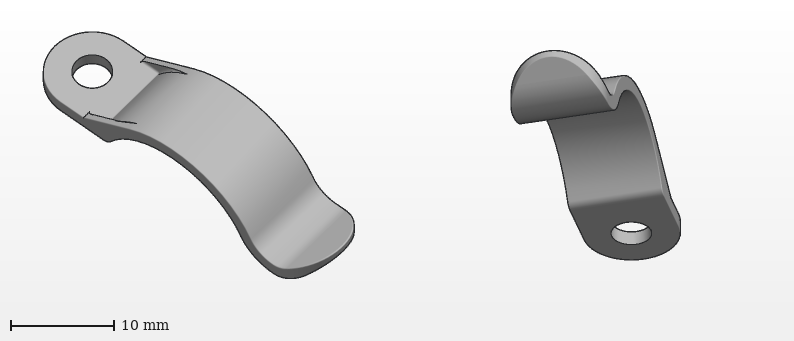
import cadquery as cq
import math

length = 36.5
width = 9.53
thickness = 1.5
end_radius = width / 2
edge_round = 0.1

pad_bottom = 2.8
pad_top = pad_bottom + thickness
hole_diameter = 3.95
heel_radius = 1.1

height = 9.2
arch_x = 19.05
arch_inner = 9.5
arch_outer = arch_inner + thickness
arch_z = height - arch_outer

hook_inner = 3.1
hook_outer = hook_inner + thickness
hook_z = hook_outer
centre_distance = arch_outer + hook_inner
hook_x = arch_x + math.sqrt(centre_distance**2 - (hook_z - arch_z) ** 2)
crossing_angle = math.degrees(math.atan2(hook_z - arch_z, hook_x - arch_x))
tail_top_slope = 30.0
tail_bottom_slope = 45.0

rib_slope = 30.0
rib_width = 0.7
pocket_round = 0.25
selection_margin = 0.35


def on_circle(x, z, radius, angle):
    """Point of a circle in the XZ plane, angle in degrees from +X."""
    a = math.radians(angle)
    return (x + radius * math.cos(a), z + radius * math.sin(a))


def on_arch(radius, angle):
    return on_circle(arch_x, arch_z, radius, angle)


def on_hook(radius, angle):
    return on_circle(hook_x, hook_z, radius, angle)


def slope_at(point, slope, x):
    """Point at x on a sloped line through the given point."""
    return (x, point[1] + (x - point[0]) * math.tan(math.radians(slope)))


def arch_x_at(radius, z):
    """Where the left side of an arch circle reaches height z."""
    return arch_x - math.sqrt(radius**2 - (z - arch_z) ** 2)


rib_top = on_arch(arch_outer, 90 + rib_slope)
rib_foot_x = rib_top[0] - (rib_top[1] - pad_top) / math.tan(math.radians(rib_slope))
tail_top_start = on_hook(hook_inner, tail_top_slope - 90)
tail_bottom_start = on_hook(hook_outer, tail_bottom_slope - 90)


def strip():
    """Side profile extruded over the width and trimmed to rounded ends."""
    heel = (arch_x_at(arch_inner, pad_bottom), pad_bottom)
    crown = 90
    hook_bottom = -90
    profile = (
        cq.Workplane("XZ")
        .moveTo(0, pad_bottom)
        .lineTo(0, pad_top)
        .lineTo(rib_foot_x, pad_top)
        .lineTo(*rib_top)
        .threePointArc(on_arch(arch_outer, crown), on_arch(arch_outer, crossing_angle))
        .threePointArc(on_hook(hook_inner, hook_bottom), tail_top_start)
        .lineTo(*slope_at(tail_top_start, tail_top_slope, length))
        .lineTo(*slope_at(tail_bottom_start, tail_bottom_slope, length))
        .lineTo(*tail_bottom_start)
        .threePointArc(on_hook(hook_outer, hook_bottom), on_hook(hook_outer, 180 + crossing_angle))
        .threePointArc(on_arch(arch_inner, crown), heel)
        .close()
        .extrude(width / 2, both=True)
    )
    heel_edge = cq.selectors.NearestToPointSelector((heel[0], 0, heel[1]))
    profile = profile.edges("|Y").edges(heel_edge).fillet(heel_radius)
    outline = cq.Workplane("XY").center(length / 2, 0).slot2D(length, width).extrude(height)
    return profile.intersect(outline)


def round_outline(body):
    """Soften the long edges on both sides and around both ends."""
    return body.faces("<Y or >Y").edges("not |Z").fillet(edge_round)


def pocket():
    """Space between the ribs, following the pad and then the arch."""
    start_x = rib_foot_x - thickness
    ceiling = height + thickness
    floor_end = (arch_x_at(arch_outer, pad_top), pad_top)
    start_angle = math.degrees(math.atan2(pad_top - arch_z, floor_end[0] - arch_x))
    middle = on_arch(arch_outer, (start_angle + 90 + rib_slope) / 2)
    block = (
        cq.Workplane("XZ")
        .moveTo(start_x, pad_top)
        .lineTo(*floor_end)
        .threePointArc(middle, rib_top)
        .lineTo(rib_top[0], ceiling)
        .lineTo(start_x, ceiling)
        .close()
        .extrude(width / 2 - rib_width, both=True)
    )
    floor_box = cq.selectors.BoxSelector(
        (start_x - selection_margin, -width, pad_top - selection_margin),
        (rib_top[0] - selection_margin, width, rib_top[1] - selection_margin),
    )
    return block.edges(floor_box).edges("not <X").fillet(pocket_round)


hole = cq.Workplane("XY").center(end_radius, 0).circle(hole_diameter / 2).extrude(height)

result = round_outline(strip()).cut(pocket()).cut(hole)